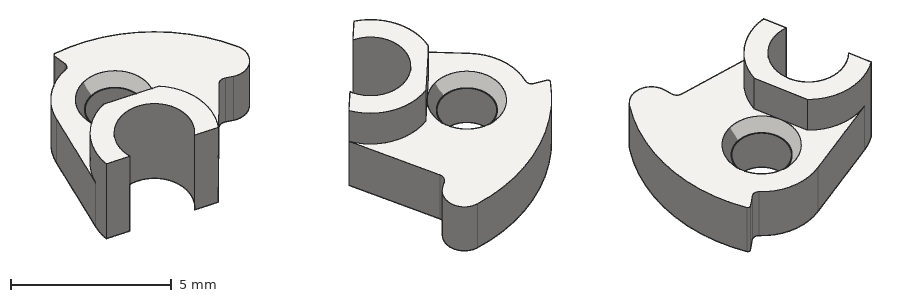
import cadquery as cq
import math

plate_height = 2.0
total_height = 3.4
boss_radius = 2.0

hole_radius = 0.925
cone_top_radius = 1.23
cone_bottom_radius = 0.95
cone_depth = 0.45

clip_x = 3.0
clip_bore_radius = 1.25
clip_opening_offset = 0.6
clip_opening_x = clip_x + clip_opening_offset
clip_flat_x = cone_top_radius

rim_radius = 5.635
lobe_radius = 0.69
lobe_top_y = 4.56
tooth_angle = math.radians(201.3)
upper_edge_angle = math.radians(24.5)
neck_fillet = 0.26
root_fillet = 0.2
tip_fillet = 0.085


def polar(radius, angle, center_x=0.0, center_y=0.0):
    return (center_x + radius * math.cos(angle), center_y + radius * math.sin(angle))


lobe_y = lobe_top_y - lobe_radius
lobe_x = clip_x - math.sqrt((rim_radius - lobe_radius) ** 2 - lobe_y**2)
rim_end_angle = math.atan2(lobe_y, lobe_x - clip_x)
rim_end = polar(rim_radius, rim_end_angle, clip_x)

lobe_distance = math.hypot(lobe_x, lobe_y)
neck_angle = math.atan2(lobe_y, lobe_x) - math.asin(lobe_radius / lobe_distance)
neck_top = polar(math.sqrt(lobe_distance**2 - lobe_radius**2), neck_angle)
lobe_top = (lobe_x, lobe_top_y)

corner_y = math.sqrt(boss_radius**2 - clip_opening_offset**2)
edge_slope = math.tan(upper_edge_angle)
neck_root_x = (corner_y + edge_slope * clip_opening_x) / (math.tan(neck_angle) + edge_slope)
neck_root = (neck_root_x, neck_root_x * math.tan(neck_angle))

tooth_root = polar(boss_radius, tooth_angle)
center_along_flank = clip_x * math.cos(tooth_angle)
center_off_flank = clip_x * math.sin(tooth_angle)
tip_distance = center_along_flank + math.sqrt(rim_radius**2 - center_off_flank**2)
tooth_tip = polar(tip_distance, tooth_angle)
tip_angle = math.atan2(tooth_tip[1], tooth_tip[0] - clip_x) % (2 * math.pi)
rim_middle = polar(rim_radius, (tip_angle + rim_end_angle) / 2, clip_x)
pivot_arc_middle = polar(boss_radius, (tooth_angle + math.radians(270)) / 2)
clip_arc_angle = math.atan2(-corner_y, clip_opening_offset)
clip_arc_middle = polar(boss_radius, (clip_arc_angle - math.pi / 2) / 2, clip_x)


def fillet_upright(body, point, radius):
    selector = cq.selectors.NearestToPointSelector((*point, plate_height / 2))
    return body.edges("|Z").edges(selector).fillet(radius)


plate = (
    cq.Workplane("XY")
    .moveTo(0, -boss_radius)
    .lineTo(clip_x, -boss_radius)
    .threePointArc(clip_arc_middle, (clip_opening_x, -corner_y))
    .lineTo(clip_opening_x, corner_y)
    .lineTo(*neck_root)
    .lineTo(*neck_top)
    .threePointArc(lobe_top, rim_end)
    .threePointArc(rim_middle, tooth_tip)
    .lineTo(*tooth_root)
    .threePointArc(pivot_arc_middle, (0, -boss_radius))
    .close()
    .extrude(plate_height)
)
plate = fillet_upright(plate, neck_root, neck_fillet)
plate = fillet_upright(plate, tooth_root, root_fillet)
plate = fillet_upright(plate, tooth_tip, tip_fillet)

clip_trim = cq.Workplane("XY").box(
    clip_opening_x - clip_flat_x, 2 * boss_radius, total_height, centered=(False, True, False)
).translate((clip_flat_x, 0, 0))
clip = cq.Workplane("XY").center(clip_x, 0).circle(boss_radius).extrude(total_height).intersect(clip_trim)

clip_bore = cq.Workplane("XY").center(clip_x, 0).circle(clip_bore_radius).extrude(total_height)

cone_bottom_z = plate_height - cone_depth
pivot_hole = (
    cq.Workplane("XZ")
    .lineTo(hole_radius, 0)
    .lineTo(hole_radius, cone_bottom_z)
    .lineTo(cone_bottom_radius, cone_bottom_z)
    .lineTo(cone_top_radius, plate_height)
    .lineTo(0, plate_height)
    .close()
    .revolve(360, (0, 0), (0, 1))
)

result = plate.union(clip).cut(clip_bore).cut(pivot_hole)